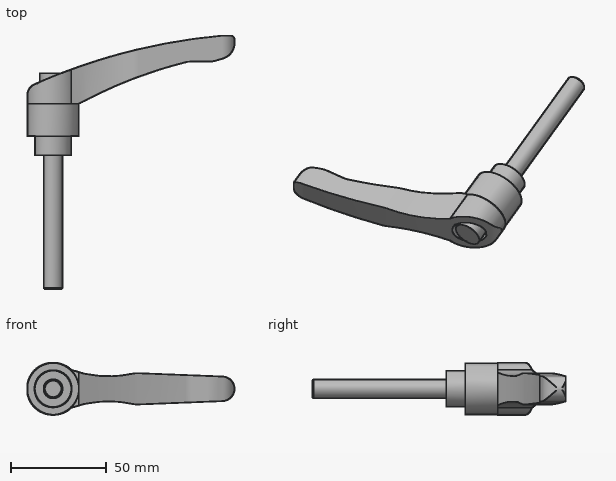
import cadquery as cq
import math


body_diameter = 27.0
body_top_y = 21.2
sleeve_diameter = 19.0
sleeve_length = 10.0
sleeve_bore_diameter = 19.6
sleeve_bore_depth = 5.0
stud_diameter = 10.0
stud_length = 70.0
stud_chamfer = 0.7
screw_head_diameter = 14.2
screw_head_top = 33.0
screw_bore_diameter = 16.8

hub_diameter = 27.47
hub_radius = hub_diameter / 2
root_x = 9.4
tip_x = 95.0
tip_radius = 6.5
tip_center_x = tip_x - tip_radius
waist_x = 28.9
waist_half_width = 6.6
waist_end_x = 41.0
waist_end_half_width = 7.9
grip_start_x = 44.2
grip_half_width = 8.25

handle_base_y = 17.0
back_x = -13.49
back_fillet = 6.0
top_arc_radius = 309.0
top_arc_center = (116.0, -255.1)
under_arc_radius = 237.0
under_arc_center = (126.8, -191.3)
under_arc_start_x = 17.8
nose_y = 38.95
nose_fillet = 10.0
nose_flat_end_x = 81.4
nose_arc_radius = 14.5
ramp_angle = 18.0
ramp_end_x = 89.0
tip_fillet = 2.3


def arc_height(center, radius, x):
    """Height at x on the upper half of a circle."""
    return center[1] + math.sqrt(radius**2 - (x - center[0]) ** 2)


def handle_top_y():
    """Height of the highest point of the lever, where its top arc meets the flat tip."""
    return arc_height(top_arc_center, top_arc_radius, tip_center_x)


def arc_points(center, radius, start_x, end_x):
    """Start, middle and end points of an arc on the upper half of a circle."""
    stations = (start_x, (start_x + end_x) / 2, end_x)
    return [(x, arc_height(center, radius, x)) for x in stations]


def nose_arc_point(angle):
    """Point on the nose arc after it has turned by an angle from the flat."""
    return (
        nose_flat_end_x + nose_arc_radius * math.sin(angle),
        nose_y + nose_arc_radius * (1 - math.cos(angle)),
    )


def cylinder_along_y(diameter, start_y, end_y):
    """Solid cylinder on the clamping axis between two heights."""
    disc = cq.Workplane("XZ", origin=(0, start_y, 0)).circle(diameter / 2)
    return disc.extrude(start_y - end_y)


def handle_side_profile():
    """Curved lever as a prism along Z, bounded by its top and underside arcs."""
    top_start, top_middle, top_end = arc_points(top_arc_center, top_arc_radius, back_x, tip_center_x)

    rise = nose_y - under_arc_center[1]
    nose_start_x = under_arc_center[0] - math.sqrt(under_arc_radius**2 - rise**2)
    under_start, under_middle, under_end = arc_points(
        under_arc_center, under_arc_radius, under_arc_start_x, nose_start_x
    )

    ramp_slope = math.radians(ramp_angle)
    nose_arc_middle = nose_arc_point(ramp_slope / 2)
    ramp_start = nose_arc_point(ramp_slope)
    ramp_end = (
        ramp_end_x,
        ramp_start[1] + (ramp_end_x - ramp_start[0]) * math.tan(ramp_slope),
    )
    tip_arc_radius = (tip_x - ramp_end_x) / (1 - math.sin(ramp_slope))
    tip_arc_end = (tip_x, ramp_end[1] + tip_arc_radius * math.cos(ramp_slope))
    tip_corner = (tip_x, top_end[1])

    prism = (
        cq.Workplane("XY", origin=(0, 0, -hub_radius))
        .moveTo(back_x, handle_base_y)
        .lineTo(*top_start)
        .threePointArc(top_middle, top_end)
        .lineTo(*tip_corner)
        .lineTo(*tip_arc_end)
        .tangentArcPoint(ramp_end, relative=False)
        .lineTo(*ramp_start)
        .threePointArc(nose_arc_middle, (nose_flat_end_x, nose_y))
        .lineTo(*under_end)
        .threePointArc(under_middle, under_start)
        .lineTo(body_diameter / 2, handle_base_y)
        .close()
        .extrude(2 * hub_radius)
    )
    for corner, radius in (
        (top_start, back_fillet),
        (tip_corner, tip_fillet),
        (under_end, nose_fillet),
    ):
        prism = prism.edges(cq.NearestToPointSelector((*corner, 0))).fillet(radius)
    return prism


def handle_plan():
    """Hub and lever outline as a prism along Y, symmetric about the XY plane."""
    root = (root_x, math.sqrt(hub_radius**2 - root_x**2))
    waist = (waist_x, waist_half_width)
    waist_end = (waist_end_x, waist_end_half_width)
    return (
        cq.Workplane("XZ", origin=(0, handle_base_y, 0))
        .moveTo(-hub_radius, 0)
        .threePointArc((0, hub_radius), root)
        .threePointArc(waist, waist_end)
        .tangentArcPoint((grip_start_x, grip_half_width), relative=False)
        .lineTo(tip_center_x, tip_radius)
        .tangentArcPoint((tip_x, 0), relative=False)
        .mirrorX()
        .extrude(handle_base_y - handle_top_y())
    )


def handle():
    """Lever with its hub, bored from above for the screw head."""
    lever = handle_side_profile().intersect(handle_plan())
    return lever.cut(cylinder_along_y(screw_bore_diameter, handle_base_y, handle_top_y()))


def body():
    """Cylinder that reaches up into the hub and closes the screw bore, recessed around the sleeve."""
    cylinder = cylinder_along_y(body_diameter, 0, body_top_y)
    return cylinder.cut(cylinder_along_y(sleeve_bore_diameter, 0, sleeve_bore_depth))


def screw():
    """Sleeve, chamfered stud and the screw head that stands in the bore."""
    stud_end_y = -sleeve_length - stud_length
    sleeve = cylinder_along_y(sleeve_diameter, -sleeve_length, sleeve_bore_depth)
    stud = cylinder_along_y(stud_diameter, stud_end_y, 0).faces("<Y").chamfer(stud_chamfer)
    head = cylinder_along_y(screw_head_diameter, body_top_y, screw_head_top)
    return sleeve.union(stud).union(head)


result = body().union(handle()).union(screw())